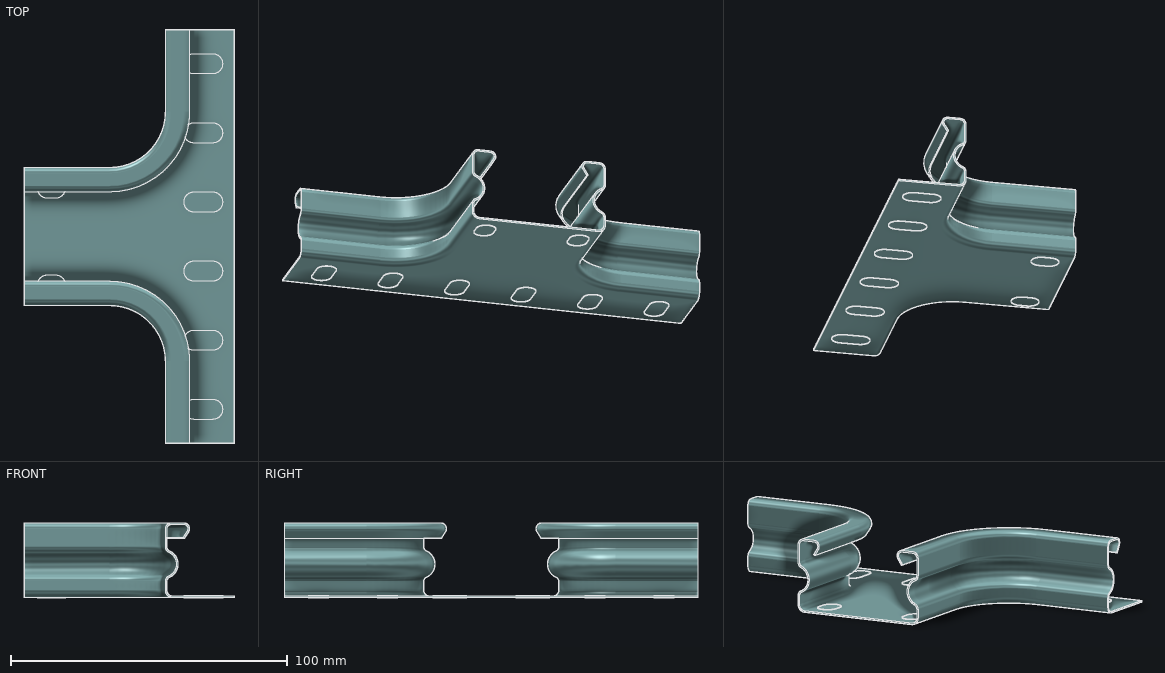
import cadquery as cq
import math

run_length = 149.5
tray_depth = 76.0
overall_height = 27.2
sheet = 0.6

wall_offset = 25.0
corner_radius = 20.0
corner_x = tray_depth - wall_offset - corner_radius
corner_y = wall_offset + corner_radius

floor_bend = 2.7
cap_bend = 2.2
lip_bend = 2.1
lip_angle = 122.0
lip_length = 2.8
cap_width = 8.8
bead_height = 12.1
bead_radius = 4.6
bead_entry_radius = 2.2
bead_angle = 66.0

pad_proud = 0.21
rail_height = overall_height - pad_proud
pad_width = 7.2
run_pad_length = 14.0
run_pad_inset = 11.2
run_pad_x = tray_depth - run_pad_inset
run_pad_pitch = 25.0
run_pad_count = 6
branch_pad_length = 10.2
branch_pad_x = 9.9
branch_pad_y = 17.5

bead_half_height = (bead_radius + bead_entry_radius) * math.sin(math.radians(bead_angle))
section_steps = [
    ("bend", 90.0, floor_bend),
    ("straight", bead_height - bead_half_height - floor_bend),
    ("bend", bead_angle, bead_entry_radius),
    ("bend", -2 * bead_angle, bead_radius),
    ("bend", bead_angle, bead_entry_radius),
    ("straight", rail_height - cap_bend - bead_height - bead_half_height),
    ("bend", 90.0, cap_bend),
    ("straight", cap_width - cap_bend - lip_bend),
    ("bend", lip_angle, lip_bend),
    ("straight", lip_length),
]


def trace_face(depth):
    """Trace the sheet face lying `depth` inside the outside face.

    Returns the start point and a list of (middle, end); middle is None for a straight.
    Points are (distance inwards from the wall, height).
    """
    x, z = floor_bend, 0.0
    heading = math.pi

    def inside_point(px, pz, angle, distance):
        return px + distance * math.sin(angle), pz - distance * math.cos(angle)

    start = inside_point(x, z, heading, depth)
    spans = []
    for kind, *sizes in section_steps:
        middle = None
        if kind == "straight":
            x += sizes[0] * math.cos(heading)
            z += sizes[0] * math.sin(heading)
        else:
            turn, radius = math.radians(sizes[0]), math.copysign(sizes[1], sizes[0])
            centre = inside_point(x, z, heading, radius)
            middle = inside_point(*centre, heading - turn / 2, depth - radius)
            heading -= turn
            x, z = inside_point(*centre, heading, -radius)
        spans.append((middle, inside_point(x, z, heading, depth)))
    return start, spans


def rail_section(plane, wall_position):
    """Closed sheet section on a plane whose local x points towards the inside of the tray."""
    def place(point):
        return point[0] + wall_position, point[1]

    def draw(sketch, middle, end):
        if middle is None:
            return sketch.lineTo(*place(end))
        return sketch.threePointArc(place(middle), place(end))

    outer_start, outer_spans = trace_face(0.0)
    inner_start, inner_spans = trace_face(sheet)
    sketch = cq.Workplane(plane).moveTo(*place(outer_start))
    for middle, end in outer_spans:
        sketch = draw(sketch, middle, end)
    sketch = sketch.lineTo(*place(inner_spans[-1][1]))
    inner_ends = [inner_start] + [end for _, end in inner_spans[:-1]]
    for (middle, _), end in zip(reversed(inner_spans), reversed(inner_ends)):
        sketch = draw(sketch, middle, end)
    return sketch.close()


def make_rail():
    """Rail on the +Y side: straight along X, quarter turn, straight along Y."""
    branch_plane = cq.Plane(origin=(0, corner_y, 0), xDir=(0, -1, 0), normal=(-1, 0, 0))
    run_plane = cq.Plane(origin=(corner_x, corner_y, 0), xDir=(1, 0, 0), normal=(0, -1, 0))
    branch = rail_section(branch_plane, corner_radius).extrude(-corner_x)
    corner = rail_section(run_plane, corner_radius).revolve(90, (0, 0, 0), (0, -1, 0))
    run = rail_section(run_plane, corner_radius).extrude(-(run_length / 2 - corner_y))
    return branch.union(corner).union(run)


def make_floor():
    """T-shaped floor reaching to the start of the rail bends."""
    edge_radius = corner_radius + floor_bend
    branch_edge = wall_offset - floor_bend
    run_edge = tray_depth - branch_edge
    half_run = run_length / 2
    arc_middle = edge_radius * math.sqrt(0.5)
    return (
        cq.Workplane("XY")
        .moveTo(0, -branch_edge)
        .lineTo(corner_x, -branch_edge)
        .threePointArc((corner_x + arc_middle, -corner_y + arc_middle), (run_edge, -corner_y))
        .lineTo(run_edge, -half_run)
        .lineTo(tray_depth, -half_run)
        .lineTo(tray_depth, half_run)
        .lineTo(run_edge, half_run)
        .lineTo(run_edge, corner_y)
        .threePointArc((corner_x + arc_middle, corner_y - arc_middle), (corner_x, branch_edge))
        .lineTo(0, branch_edge)
        .close()
        .extrude(sheet)
    )


def make_pads(points, length):
    """Obround pads, long along X, passing through the floor at the given centres."""
    return (
        cq.Workplane("XY", origin=(0, 0, -pad_proud))
        .pushPoints(points)
        .slot2D(length, pad_width)
        .extrude(sheet + 2 * pad_proud)
    )


run_pad_points = [
    (run_pad_x, (i - (run_pad_count - 1) / 2) * run_pad_pitch) for i in range(run_pad_count)
]
branch_pad_points = [(branch_pad_x, side * branch_pad_y) for side in (-1, 1)]

rail = make_rail()
result = (
    make_floor()
    .union(rail)
    .union(rail.mirror("XZ"))
    .union(make_pads(run_pad_points, run_pad_length))
    .union(make_pads(branch_pad_points, branch_pad_length))
)